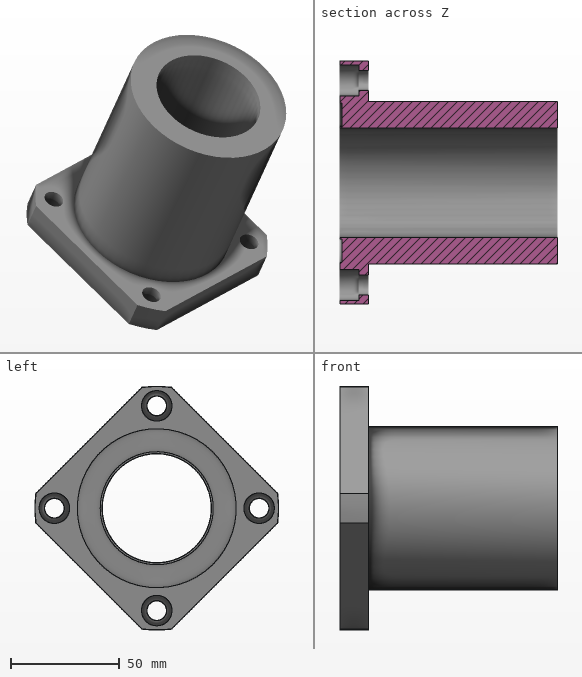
import cadquery as cq

length = 100.0
flange_diameter = 112.0
flange_square = 88.1
flange_thickness = 13.2
body_diameter = 75.0
bore_diameter = 50.0

hole_diameter = 9.0
counterbore_diameter = 14.0
counterbore_depth = 8.6
bolt_circle_radius = 47.0
bolt_angles = (0, 90, 180, 270)

seal_diameter = 73.0
seal_recess = 0.9
bore_lip_diameter = 52.0


def cylinder(diameter, depth):
    """Cylinder along +X starting at X = 0."""
    return cq.Workplane("YZ").circle(diameter / 2).extrude(depth)


def make_flange():
    """Square turned on its corner, with corners rounded by the flange circle."""
    square = (
        cq.Workplane("YZ")
        .rect(flange_square, flange_square)
        .extrude(flange_thickness)
        .rotate((0, 0, 0), (1, 0, 0), 45)
    )
    return square.intersect(cylinder(flange_diameter, flange_thickness))


def make_bolt_hole():
    """Through hole with a counterbore opening on the flange face."""
    through = cylinder(hole_diameter, flange_thickness)
    counterbore = cylinder(counterbore_diameter, counterbore_depth)
    return through.union(counterbore).translate((0, bolt_circle_radius, 0))


result = make_flange().union(cylinder(body_diameter, length))
seal_ring = cylinder(seal_diameter, seal_recess).cut(cylinder(bore_lip_diameter, seal_recess))
result = result.cut(seal_ring)
result = result.cut(cylinder(bore_diameter, length))

bolt_hole = make_bolt_hole()
for angle in bolt_angles:
    result = result.cut(bolt_hole.rotate((0, 0, 0), (1, 0, 0), angle))